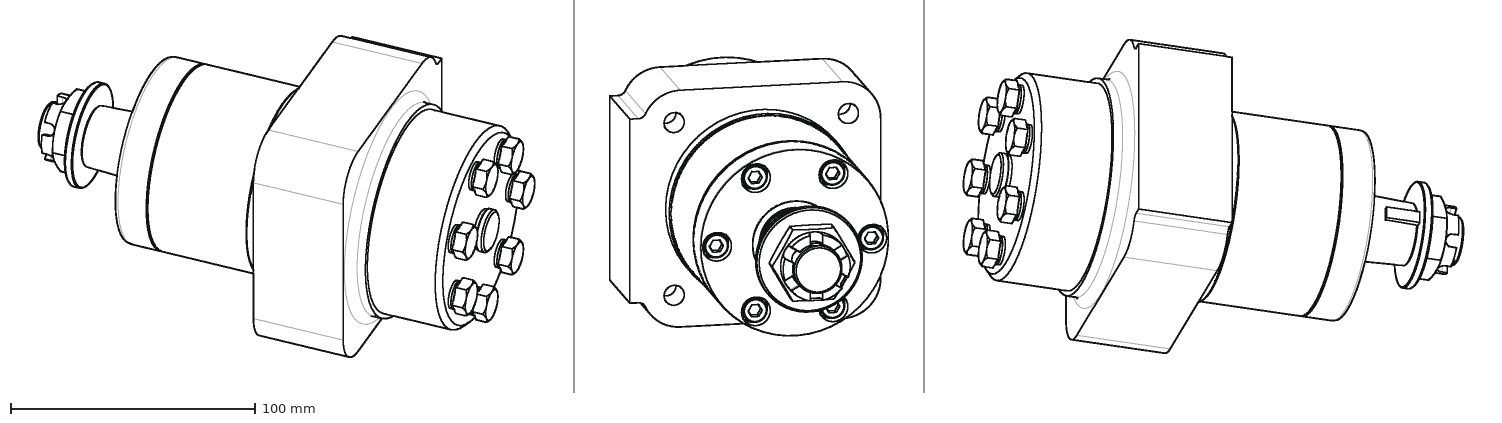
import cadquery as cq
import math

NUT_FRONT = 3.5
HEX_FRONT = 8.5
WASHER_FRONT = 16.6
WASHER_BACK = 20.5
TAPER_END = 44.3
COVER_FRONT = 46.7
COVER_JOINT = 60.5
BARREL_END = 104.7
FLANGE_FRONT = 112.4
FLANGE_BACK = 152.2
COLLAR_START = 156.2
COLLAR_END = 160.0
REAR_FACE = 192.5
OVERALL_LENGTH = 200.3

BARREL_R = 79.0 / 2
SPIGOT_R = 40.0
COLLAR_R = 45.0
REAR_R = 86.0 / 2
NECK_FILLET = COLLAR_START - FLANGE_BACK
REAR_CHAMFER = 2.5
COVER_EDGE_LENGTH = 1.2
COVER_EDGE_DEPTH = 0.2
GROOVE_WIDTH = 0.6
GROOVE_DEPTH = 0.5

FLANGE_HALF = 100.0 / 2
FLANGE_WIDTH_WITH_TAB = 105.0
FLANGE_CORNER_R = 16.0
TAB_EDGE = FLANGE_WIDTH_WITH_TAB - FLANGE_HALF
TAB_HALF = 38.9
TAB_FILLET = 3.5
MOUNT_HOLE_D = 8.5
MOUNT_HOLE_DEPTH = 16.0
MOUNT_HOLE_OFFSET = 36.5
DRILL_POINT_ANGLE = 118.0

SCREW_COUNT = 6
SCREW_CIRCLE_R = 32.5
COUNTERBORE_D = 12.0
COUNTERBORE_DEPTH = 6.0
SCREW_HEAD_D = 10.0
SCREW_HEAD_RECESS = 1.2
SCREW_HEAD_CHAMFER = 0.5
SOCKET_FLATS = 5.0
SOCKET_DEPTH = 3.0
SEAL_GROOVE_D = 35.0
SEAL_LIP_D = 29.2
SEAL_GROOVE_DEPTH = 1.0

BOLT_COUNT = 7
BOLT_CIRCLE_R = 32.0
BOLT_FLATS = 13.0
BOLT_WASHER_D = 11.8
BOLT_WASHER_HEIGHT = 1.2
BOLT_COLLAR_D = 12.0
BOLT_COLLAR_HEIGHT = 1.2
BOLT_CHAMFER_LENGTH = 0.8
PLUG_BASE_D = 17.0
PLUG_BASE_HEIGHT = 1.6
PLUG_D = 18.0
PLUG_HEIGHT = 4.6
PLUG_CHAMFER = 0.8

THREAD_D = 20.0
THREAD_END_D = 18.6
SHAFT_D = 28.0
TAPER_SMALL_D = 25.8
TAPER_CHAMFER = 0.6
COTTER_HOLE_D = 4.5
COTTER_HOLE_X = 3.5
KEY_WIDTH = 5.0
KEY_HEIGHT = 5.0
KEY_TOP = 15.2
KEY_END = 34.6

WASHER_D = 44.0
WASHER_FRONT_CHAMFER = 0.8
WASHER_BACK_CHAMFER = 0.5
NUT_FLATS = 30.0
CASTLE_D = 28.0
NUT_CHAMFER_LENGTH = 1.2
SLOT_COUNT = 6
SLOT_WIDTH = 5.2
SLOT_END = 8.5


def across_corners(flats):
    """Corner-to-corner size of a hexagon with the given size across flats."""
    return flats / math.cos(math.pi / 6)


def turned(points):
    """Solid of revolution about the X axis from (x, radius) points."""
    return cq.Workplane("XY").polyline(points).close().revolve(360, (0, 0, 0), (1, 0, 0))


def bar(x_start, x_end, diameter):
    """Round bar along the X axis."""
    return cq.Workplane("YZ", origin=(x_start, 0, 0)).circle(diameter / 2).extrude(x_end - x_start)


def hex_bar(x_start, x_end, flats):
    """Hexagonal bar along the X axis with corners toward +Y and -Y."""
    plane = cq.Workplane("YZ", origin=(x_start, 0, 0))
    return plane.polygon(6, across_corners(flats)).extrude(x_end - x_start)


def ring_points(count, radius):
    """(y, z) points equally spaced on a circle, the first one on +Y."""
    angles = [2 * math.pi * i / count for i in range(count)]
    return [(radius * math.cos(a), radius * math.sin(a)) for a in angles]


def make_front_section():
    """Cover, barrel and spigot, with two narrow grooves at their joints."""
    groove_r = BARREL_R - GROOVE_DEPTH
    return turned([
        (COVER_FRONT, 0),
        (COVER_FRONT, BARREL_R - COVER_EDGE_DEPTH),
        (COVER_FRONT + COVER_EDGE_LENGTH, BARREL_R),
        (COVER_JOINT, BARREL_R),
        (COVER_JOINT, groove_r),
        (COVER_JOINT + GROOVE_WIDTH, groove_r),
        (COVER_JOINT + GROOVE_WIDTH, BARREL_R),
        (BARREL_END, BARREL_R),
        (BARREL_END, groove_r),
        (BARREL_END + GROOVE_WIDTH, groove_r),
        (BARREL_END + GROOVE_WIDTH, SPIGOT_R),
        (FLANGE_FRONT, SPIGOT_R),
        (FLANGE_FRONT, 0),
    ])


def make_flange():
    """Square flange with rounded corners and a flat tab blended in on the +Y side."""
    length = FLANGE_BACK - FLANGE_FRONT
    middle_x = (FLANGE_FRONT + FLANGE_BACK) / 2
    square = cq.Workplane("XY").box(length, 2 * FLANGE_HALF, 2 * FLANGE_HALF)
    square = square.edges("|X").fillet(FLANGE_CORNER_R)
    tab = cq.Workplane("XY").box(length, TAB_EDGE, 2 * TAB_HALF).translate((0, TAB_EDGE / 2, 0))

    arc_centre = FLANGE_HALF - FLANGE_CORNER_R
    root_y = arc_centre + math.sqrt(FLANGE_CORNER_R ** 2 - (TAB_HALF - arc_centre) ** 2)
    flange = square.union(tab)
    for side in (1, -1):
        root = cq.selectors.NearestToPointSelector((0, root_y, side * TAB_HALF))
        flange = flange.edges(root).fillet(TAB_FILLET)
    return flange.translate((middle_x, 0, 0))


def make_rear_section():
    """Concave neck behind the flange, collar, and chamfered rear body."""
    blend = NECK_FILLET * (1 - math.sqrt(0.5))
    profile = (
        cq.Workplane("XY")
        .moveTo(FLANGE_BACK, 0)
        .lineTo(FLANGE_BACK, COLLAR_R + NECK_FILLET)
        .threePointArc((FLANGE_BACK + blend, COLLAR_R + blend), (COLLAR_START, COLLAR_R))
        .lineTo(COLLAR_END, COLLAR_R)
        .lineTo(COLLAR_END, REAR_R)
        .lineTo(REAR_FACE - REAR_CHAMFER, REAR_R)
        .lineTo(REAR_FACE, REAR_R - REAR_CHAMFER)
        .lineTo(REAR_FACE, 0)
        .close()
    )
    return profile.revolve(360, (0, 0, 0), (1, 0, 0))


def make_mount_hole():
    """Blind drilled hole with a conical bottom."""
    radius = MOUNT_HOLE_D / 2
    bottom = FLANGE_FRONT + MOUNT_HOLE_DEPTH
    tip = bottom + radius / math.tan(math.radians(DRILL_POINT_ANGLE / 2))
    return turned([(FLANGE_FRONT, 0), (FLANGE_FRONT, radius), (bottom, radius), (tip, 0)])


def make_cover_screw():
    """Socket screw head standing on the floor of its counterbore."""
    top = COVER_FRONT + SCREW_HEAD_RECESS
    head = bar(top, COVER_FRONT + COUNTERBORE_DEPTH, SCREW_HEAD_D)
    head = head.faces("<X").edges().chamfer(SCREW_HEAD_CHAMFER)
    return head.cut(hex_bar(top, top + SOCKET_DEPTH, SOCKET_FLATS))


def make_rear_bolt():
    """Hexagon bolt head on a stepped round base."""
    collar_start = REAR_FACE + BOLT_WASHER_HEIGHT
    hex_start = collar_start + BOLT_COLLAR_HEIGHT
    corner_r = across_corners(BOLT_FLATS) / 2
    crown = turned([
        (hex_start, 0),
        (hex_start, corner_r),
        (OVERALL_LENGTH - BOLT_CHAMFER_LENGTH, corner_r),
        (OVERALL_LENGTH, BOLT_FLATS / 2),
        (OVERALL_LENGTH, 0),
    ])
    head = hex_bar(hex_start, OVERALL_LENGTH, BOLT_FLATS).intersect(crown)
    base = bar(REAR_FACE, collar_start, BOLT_WASHER_D)
    return head.union(base).union(bar(collar_start, hex_start, BOLT_COLLAR_D))


def make_centre_plug():
    """Round plug on the rear face, stepped at its base."""
    base_end = REAR_FACE + PLUG_BASE_HEIGHT
    cap = bar(base_end, REAR_FACE + PLUG_HEIGHT, PLUG_D).faces(">X").edges().chamfer(PLUG_CHAMFER)
    return cap.union(bar(REAR_FACE, base_end, PLUG_BASE_D))


def make_seal_groove():
    """Shallow ring groove in the cover that leaves a thin lip around the shaft."""
    floor = COVER_FRONT + SEAL_GROOVE_DEPTH
    return bar(COVER_FRONT, floor, SEAL_GROOVE_D).cut(bar(COVER_FRONT, floor, SEAL_LIP_D))


def make_housing():
    body = make_front_section().union(make_flange()).union(make_rear_section())

    for y in (-MOUNT_HOLE_OFFSET, MOUNT_HOLE_OFFSET):
        for z in (-MOUNT_HOLE_OFFSET, MOUNT_HOLE_OFFSET):
            body = body.cut(make_mount_hole().translate((0, y, z)))

    counterbore = bar(COVER_FRONT, COVER_FRONT + COUNTERBORE_DEPTH, COUNTERBORE_D)
    for y, z in ring_points(SCREW_COUNT, SCREW_CIRCLE_R):
        body = body.cut(counterbore.translate((0, y, z)))
        body = body.union(make_cover_screw().translate((0, y, z)))

    for y, z in ring_points(BOLT_COUNT, BOLT_CIRCLE_R):
        body = body.union(make_rear_bolt().translate((0, y, z)))
    body = body.union(make_centre_plug())

    body = body.cut(make_seal_groove())
    return body.cut(bar(COVER_FRONT, COVER_JOINT, SHAFT_D))


def make_key():
    """Parallel key on the +Y side of the taper."""
    key = cq.Workplane("XY").box(KEY_END - WASHER_BACK, KEY_HEIGHT, KEY_WIDTH)
    return key.translate(((WASHER_BACK + KEY_END) / 2, KEY_TOP - KEY_HEIGHT / 2, 0))


def make_shaft():
    """Threaded nose, taper and journal that ends inside the cover."""
    nose_chamfer = (THREAD_D - THREAD_END_D) / 2
    shaft = turned([
        (0, 0),
        (0, THREAD_END_D / 2),
        (nose_chamfer, THREAD_D / 2),
        (WASHER_BACK, THREAD_D / 2),
        (WASHER_BACK, TAPER_SMALL_D / 2 - TAPER_CHAMFER),
        (WASHER_BACK + TAPER_CHAMFER, TAPER_SMALL_D / 2),
        (TAPER_END, SHAFT_D / 2),
        (COVER_JOINT, SHAFT_D / 2),
        (COVER_JOINT, 0),
    ])
    cotter_hole = cq.Workplane("XY").center(COTTER_HOLE_X, 0).circle(COTTER_HOLE_D / 2)
    shaft = shaft.cut(cotter_hole.extrude(THREAD_D, both=True))
    return shaft.cut(make_key())


def make_washer():
    washer = bar(WASHER_FRONT, WASHER_BACK, WASHER_D)
    washer = washer.faces("<X").edges().chamfer(WASHER_FRONT_CHAMFER)
    washer = washer.faces(">X").edges().chamfer(WASHER_BACK_CHAMFER)
    return washer.cut(bar(WASHER_FRONT, WASHER_BACK, THREAD_D))


def make_castle_slot():
    """Cutter for one radial slot with a rounded bottom, pointing toward +Z."""
    radius = SLOT_WIDTH / 2
    arc_x = SLOT_END - radius
    profile = (
        cq.Workplane("XY")
        .moveTo(NUT_FRONT, -radius)
        .lineTo(arc_x, -radius)
        .threePointArc((SLOT_END, 0), (arc_x, radius))
        .lineTo(NUT_FRONT, radius)
        .close()
    )
    return profile.extrude(CASTLE_D)


def make_nut():
    """Castle nut: chamfered hexagon with a slotted round crown."""
    corner_r = across_corners(NUT_FLATS) / 2
    envelope = turned([
        (HEX_FRONT, 0),
        (HEX_FRONT, CASTLE_D / 2),
        (HEX_FRONT + NUT_CHAMFER_LENGTH, corner_r),
        (WASHER_FRONT - NUT_CHAMFER_LENGTH, corner_r),
        (WASHER_FRONT, CASTLE_D / 2),
        (WASHER_FRONT, 0),
    ])
    nut = hex_bar(HEX_FRONT, WASHER_FRONT, NUT_FLATS).intersect(envelope)
    nut = nut.union(bar(NUT_FRONT, HEX_FRONT, CASTLE_D))
    for i in range(SLOT_COUNT):
        nut = nut.cut(make_castle_slot().rotate((0, 0, 0), (1, 0, 0), i * 360 / SLOT_COUNT))
    return nut.cut(bar(NUT_FRONT, WASHER_FRONT, THREAD_D))


housing = make_housing()
shaft = make_shaft()
key = make_key()
washer = make_washer()
nut = make_nut()

result = cq.Compound.makeCompound([housing.val(), shaft.val(), key.val(), washer.val(), nut.val()])